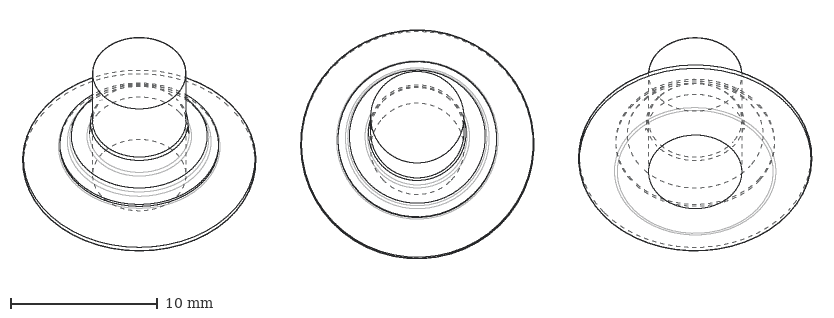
import cadquery as cq

pin_radius = 3.18
total_height = 10.8

rim_radius = 7.96
rim_edge_radius = 7.9
rim_half_height = 0.19
rim_height = 1.55
cone_end_radius = 5.51
cone_end_offset = 1.48
base_flat_radius = 5.32
base_round_mid = (5.43, 0.02)

step_radius = 5.41
step_bottom_height = 3.12
step_top_height = 3.33

neck_foot = (4.9, 3.58)
neck_mid = (4.8, 3.7)
neck_bend = (4.75, 3.85)
shoulder_radius = 4.63
shoulder_height = 4.14

collar_bottom_radius = 3.39
collar_top_radius = 3.33
collar_fillet = 0.18
collar_chamfer_height = 0.19
collar_height = 5.7
arc_mid_share = 1 - 0.5 ** 0.5


def make_pin():
    """Plain cylinder through the hub, flush with the underside."""
    return cq.Workplane("XY").circle(pin_radius).extrude(total_height)


def make_hub():
    """Revolved disc, neck and collar with a through bore for the pin."""
    fillet_mid = (
        collar_bottom_radius + arc_mid_share * collar_fillet,
        shoulder_height + arc_mid_share * collar_fillet,
    )
    profile = (
        cq.Workplane("XZ")
        .moveTo(pin_radius, 0)
        .lineTo(base_flat_radius, 0)
        .threePointArc(base_round_mid, (cone_end_radius, rim_height - cone_end_offset))
        .lineTo(rim_edge_radius, rim_height - rim_half_height)
        .threePointArc((rim_radius, rim_height), (rim_edge_radius, rim_height + rim_half_height))
        .lineTo(cone_end_radius, rim_height + cone_end_offset)
        .lineTo(step_radius, step_bottom_height)
        .lineTo(step_radius, step_top_height)
        .lineTo(*neck_foot)
        .threePointArc(neck_mid, neck_bend)
        .lineTo(shoulder_radius, shoulder_height)
        .lineTo(collar_bottom_radius + collar_fillet, shoulder_height)
        .threePointArc(fillet_mid, (collar_bottom_radius, shoulder_height + collar_fillet))
        .lineTo(collar_top_radius, collar_height - collar_chamfer_height)
        .lineTo(pin_radius, collar_height)
        .close()
    )
    return profile.revolve(360, (0, 0, 0), (0, 1, 0))


pin = make_pin()
hub = make_hub()
result = cq.Compound.makeCompound([hub.val(), pin.val()])